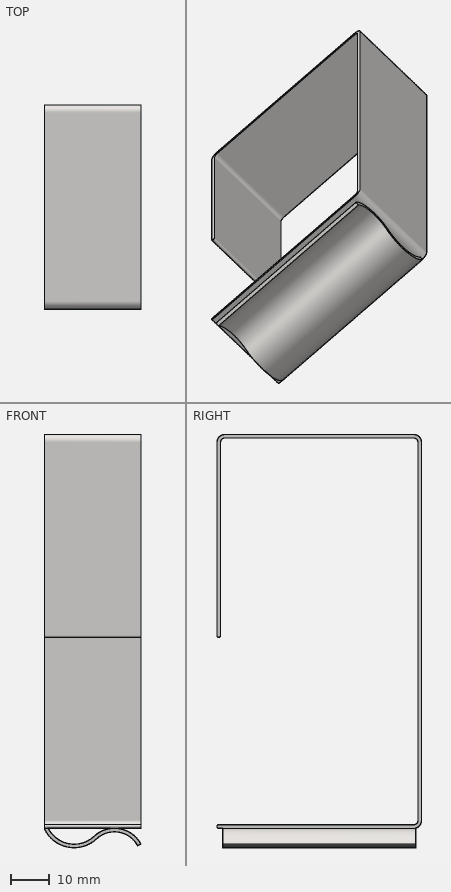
import cadquery as cq
import math

width = 25.0
depth = 53.0
height = 107.0
sheet = 1.0

frame_bottom = 5.0
leg_tip = 54.5
inner_bend = 1.1
outer_bend = inner_bend + sheet
tip_radius = 0.45 * sheet

spring_length = 50.0
trough_radius = 8.0
crest_radius = 7.3
trough_x = 7.7
end_angle = 28.0
weld_overlap = 0.05


def bent_frame():
    """Back wall, roof, front leg and lower plate with rounded bends and tips."""
    plate_top = frame_bottom + sheet
    roof_bottom = height - sheet
    back_inner = depth - sheet
    frame = (
        cq.Workplane("YZ")
        .polyline([
            (0, frame_bottom), (depth, frame_bottom), (depth, height), (0, height),
            (0, leg_tip), (sheet, leg_tip), (sheet, roof_bottom), (back_inner, roof_bottom),
            (back_inner, plate_top), (0, plate_top),
        ])
        .close()
        .extrude(width)
    )

    def round_corners(body, corners, radius):
        for y, z in corners:
            edge = cq.selectors.NearestToPointSelector((width / 2, y, z))
            body = body.edges("|X").edges(edge).fillet(radius)
        return body

    outer_corners = [(depth, frame_bottom), (depth, height), (0, height)]
    inner_corners = [(back_inner, plate_top), (back_inner, roof_bottom), (sheet, roof_bottom)]
    tip_corners = [(0, frame_bottom), (0, plate_top), (0, leg_tip), (sheet, leg_tip)]
    frame = round_corners(frame, outer_corners, outer_bend)
    frame = round_corners(frame, inner_corners, inner_bend)
    return round_corners(frame, tip_corners, tip_radius)


def wavy_spring():
    """A trough and a crest, joined tangentially, hanging from the lower plate."""
    top = frame_bottom + weld_overlap
    trough_outer = trough_radius + sheet / 2
    trough_inner = trough_radius - sheet / 2
    crest_outer = crest_radius + sheet / 2
    crest_inner = crest_radius - sheet / 2
    trough_z = trough_outer
    crest_z = top - crest_outer
    center_distance = trough_radius + crest_radius
    join = math.degrees(math.acos((trough_z - crest_z) / center_distance))
    crest_x = trough_x + center_distance * math.sin(math.radians(join))

    def on_trough(radius, angle):
        a = math.radians(angle)
        return (trough_x + radius * math.cos(a), trough_z + radius * math.sin(a))

    def on_crest(radius, angle):
        a = math.radians(angle)
        return (crest_x + radius * math.cos(a), crest_z + radius * math.sin(a))

    start = 180
    bottom = 270
    trough_end = bottom + join
    crest_top = 90
    y_start = (depth - spring_length) / 2
    wave = (
        cq.Workplane("XZ", origin=(0, y_start, 0))
        .moveTo(*on_trough(trough_outer, start))
        .threePointArc(on_trough(trough_outer, bottom), on_trough(trough_outer, trough_end))
        .threePointArc(on_crest(crest_inner, crest_top), on_crest(crest_inner, end_angle))
        .lineTo(*on_crest(crest_outer, end_angle))
        .threePointArc(on_crest(crest_outer, crest_top), on_trough(trough_inner, trough_end))
        .threePointArc(on_trough(trough_inner, bottom), on_trough(trough_inner, start))
        .close()
        .extrude(-spring_length)
    )
    envelope = cq.Workplane("XY").box(width, depth, top, centered=False)
    return wave.intersect(envelope)


result = bent_frame().union(wavy_spring())